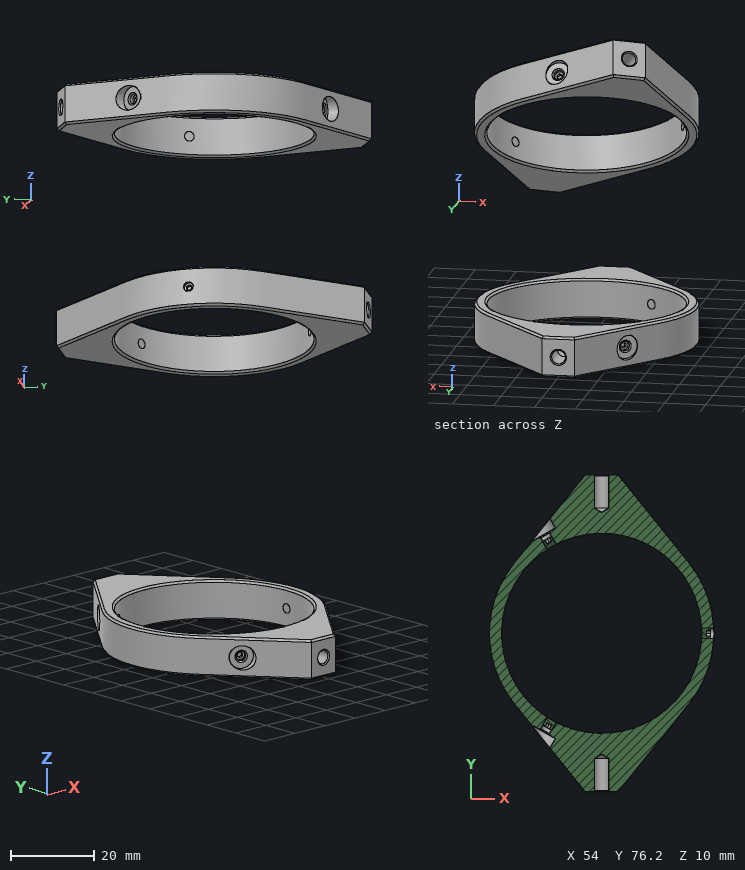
import cadquery as cq
import math

ring_length = 76.2
ring_height = 10.0
outer_diameter = 54.0
bore_diameter = 48.0
tip_width = 8.0
edge_chamfer = 0.5

tip_hole_diameter = 3.35
tip_hole_depth = 8.0
tip_hole_mouth_diameter = 4.0
drill_point_angle = 118.0

screw_count = 3
screw_diameter = 2.4
screw_length = 2.2
screw_hole_mouth_diameter = 3.05
socket_width = 1.2
socket_depth = 1.0

counterbore_diameter = 6.0
counterbore_floor_radius = 27.5

half_length = ring_length / 2
outer_radius = outer_diameter / 2
bore_radius = bore_diameter / 2
screw_angles = [i * 360.0 / screw_count for i in range(screw_count)]


def radial_rod(diameter, start_radius, length):
    """Cylinder along +X, starting at the given distance from the ring axis."""
    return cq.Workplane("YZ", origin=(start_radius, 0, 0)).circle(diameter / 2).extrude(length)


def mouth_cone(rim_radius):
    """Cone along +X that chamfers the rim of a screw hole at the given distance from the ring axis."""
    mouth_radius = screw_hole_mouth_diameter / 2
    return (
        cq.Workplane("XY")
        .moveTo(rim_radius - mouth_radius, 0)
        .lineTo(rim_radius, mouth_radius)
        .lineTo(rim_radius, 0)
        .close()
        .revolve(360, (0, 0, 0), (1, 0, 0))
    )


def turn(body, angle):
    """Rotate a body about the ring axis."""
    return body.rotate((0, 0, 0), (0, 0, 1), angle)


def make_outline():
    """Circle with two opposite pointed ends, their flanks tangent to the circle."""
    half_tip = tip_width / 2
    corner_distance = math.hypot(half_tip, half_length)
    corner_angle = math.atan2(half_length, half_tip)
    tangent_angle = corner_angle - math.acos(outer_radius / corner_distance)
    tangent_x = outer_radius * math.cos(tangent_angle)
    tangent_y = outer_radius * math.sin(tangent_angle)
    return (
        cq.Workplane("XY", origin=(0, 0, -ring_height / 2))
        .moveTo(half_tip, half_length)
        .lineTo(tangent_x, tangent_y)
        .threePointArc((outer_radius, 0), (tangent_x, -tangent_y))
        .lineTo(half_tip, -half_length)
        .lineTo(-half_tip, -half_length)
        .lineTo(-tangent_x, -tangent_y)
        .threePointArc((-outer_radius, 0), (-tangent_x, tangent_y))
        .lineTo(-half_tip, half_length)
        .close()
    )


def make_tip_hole():
    """Blind drilled hole with a conical bottom and a chamfered mouth, entering the -Y tip."""
    radius = tip_hole_diameter / 2
    mouth_radius = tip_hole_mouth_diameter / 2
    point_depth = radius / math.tan(math.radians(drill_point_angle / 2))
    floor_y = -half_length + tip_hole_depth
    return (
        cq.Workplane("XY")
        .moveTo(0, -half_length)
        .lineTo(mouth_radius, -half_length)
        .lineTo(radius, -half_length + mouth_radius - radius)
        .lineTo(radius, floor_y)
        .lineTo(0, floor_y + point_depth)
        .close()
        .revolve(360, (0, 0, 0), (0, 1, 0))
    )


def make_ring():
    """Clamp ring with its bore, edge chamfers, counterbored screw holes and tip holes."""
    ring = make_outline().extrude(ring_height)
    bore = cq.Workplane("XY", origin=(0, 0, -ring_height / 2)).circle(bore_radius).extrude(ring_height)
    ring = ring.cut(bore).faces("<Z or >Z").edges().chamfer(edge_chamfer)
    screw_hole = radial_rod(screw_diameter, 0, half_length)
    counterbore = radial_rod(counterbore_diameter, counterbore_floor_radius, half_length)
    mouth = mouth_cone(counterbore_floor_radius)
    for angle in screw_angles:
        ring = ring.cut(turn(screw_hole, angle))
        ring = ring.cut(turn(counterbore, angle))
        ring = ring.cut(turn(mouth, angle))
    for angle in (0, 180):
        ring = ring.cut(turn(make_tip_hole(), angle))
    return ring


def make_set_screw(angle):
    """Headless screw with its tip at the bore and a hex socket in its outer end."""
    screw = radial_rod(screw_diameter, bore_radius, screw_length)
    socket = (
        cq.Workplane("YZ", origin=(bore_radius + screw_length - socket_depth, 0, 0))
        .polygon(6, socket_width, circumscribed=True)
        .extrude(socket_depth)
    )
    return turn(screw.cut(socket), angle)


ring = make_ring()
set_screws = [make_set_screw(angle) for angle in screw_angles]

result = cq.Compound.makeCompound([ring.val(), *[screw.val() for screw in set_screws]])